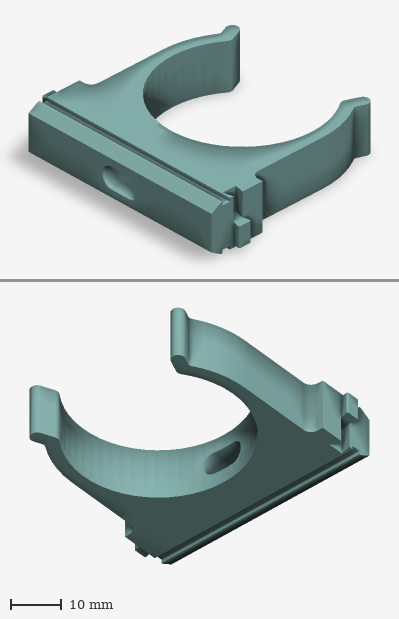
import cadquery as cq
import math


thickness = 12.0
total_depth = 50.31
base_half_width = 25.9
base_depth = 14.0

bore_radius = 19.6
arm_thickness = 3.0
outer_radius = bore_radius + arm_thickness
ring_center_y = base_depth + bore_radius
arm_root_radius = 2.0

finger_radius = arm_thickness / 2
finger_tilt = math.radians(23.0)
finger_tip_x = 18.45
finger_tip_y = total_depth - finger_radius
throat_radius = 1.5
notch_radius = 1.0

edge_chamfer_depth = 2.6
edge_chamfer_height = 1.5
groove_start_y = 3.05
groove_width = 2.0
groove_depth = 0.85

slot_length = 10.0
slot_height = 5.3

link_y = 7.25
link_waist = 2.45
socket_width = 3.65
socket_depth = 2.45
link_flare = (socket_width - link_waist) / 2 / socket_depth
tongue_reach = 2.05
tongue_height = 5.1
tongue_corner_radius = 0.35


def ring_crossing(offset, radius):
    """Point where a finger side, offset from the finger axis toward the bore, meets a ring circle."""
    along_x, along_y = -math.sin(finger_tilt), -math.cos(finger_tilt)
    start_x = finger_tip_x - offset * math.cos(finger_tilt)
    start_y = finger_tip_y + offset * math.sin(finger_tilt) - ring_center_y
    closest = -(start_x * along_x + start_y * along_y)
    half_chord = math.sqrt(radius**2 - start_x**2 - start_y**2 + closest**2)
    distance = closest - half_chord
    return start_x + distance * along_x, ring_center_y + start_y + distance * along_y


def ring_point(radius, angle):
    return radius * math.cos(angle), ring_center_y + radius * math.sin(angle)


def ring_angle(point):
    return math.atan2(point[1] - ring_center_y, point[0])


def make_body():
    """The clip outline, drawn as its +X half and mirrored, extruded through the thickness."""
    notch = ring_crossing(-finger_radius, outer_radius)
    throat = ring_crossing(finger_radius, bore_radius)
    side_x = finger_radius * math.cos(finger_tilt)
    side_y = finger_radius * math.sin(finger_tilt)
    finger_outside = (finger_tip_x + side_x, finger_tip_y - side_y)
    finger_inside = (finger_tip_x - side_x, finger_tip_y + side_y)
    finger_end = (
        finger_tip_x + finger_radius * math.sin(finger_tilt),
        finger_tip_y + finger_radius * math.cos(finger_tilt),
    )
    body = (
        cq.Workplane("XY")
        .lineTo(base_half_width, 0)
        .lineTo(base_half_width, base_depth)
        .lineTo(outer_radius + arm_root_radius, base_depth)
        .radiusArc((outer_radius, base_depth + arm_root_radius), arm_root_radius)
        .lineTo(outer_radius, ring_center_y)
        .threePointArc(ring_point(outer_radius, ring_angle(notch) / 2), notch)
        .lineTo(*finger_outside)
        .threePointArc(finger_end, finger_inside)
        .lineTo(*throat)
        .lineTo(0, ring_center_y)
        .mirrorY()
        .extrude(thickness)
    )
    bore = cq.Workplane("XY", (0, ring_center_y, 0)).circle(bore_radius).extrude(thickness)
    body = body.cut(bore)
    for side in (-1, 1):
        for (x, y), radius in ((throat, throat_radius), (notch, notch_radius)):
            corner = cq.selectors.NearestToPointSelector((side * x, y, thickness / 2))
            body = body.edges("|Z").edges(corner).fillet(radius)
    return body


def cut_mounting_edge(body):
    """Bevel the mounting edge and cut a groove behind it, on both flat faces."""
    groove_end_y = groove_start_y + groove_width
    bevel = (
        cq.Workplane("YZ")
        .polyline([(0, 0), (edge_chamfer_depth, 0), (0, edge_chamfer_height)])
        .close()
        .extrude(base_half_width, both=True)
    )
    groove = (
        cq.Workplane("YZ")
        .moveTo(groove_start_y, 0)
        .lineTo(groove_end_y, 0)
        .lineTo(groove_end_y, groove_depth)
        .lineTo(groove_start_y, groove_depth)
        .close()
        .extrude(base_half_width, both=True)
    )
    lower = bevel.union(groove)
    upper = lower.mirror("XY", (0, 0, thickness / 2))
    return body.cut(lower).cut(upper)


def cut_screw_slot(body):
    """Rounded slot from the mounting face through into the bore."""
    slot = (
        cq.Workplane("XZ")
        .center(0, thickness / 2)
        .slot2D(slot_length, slot_height)
        .extrude(-ring_center_y)
    )
    return body.cut(slot)


def make_link_prism(length, bottom, height):
    """Dovetail widening away from the base end face: outward for a positive length, inward for a negative."""
    waist_half = link_waist / 2
    flared_half = waist_half + link_flare * abs(length)
    flared_x = base_half_width + length
    return (
        cq.Workplane("XY", (0, link_y, bottom))
        .polyline(
            [
                (base_half_width, -waist_half),
                (flared_x, -flared_half),
                (flared_x, flared_half),
                (base_half_width, waist_half),
            ]
        )
        .close()
        .extrude(height)
    )


def add_links(body):
    """Each end has a tongue in one half of the thickness and a matching socket in the other."""
    middle = thickness / 2
    socket = make_link_prism(-socket_depth, middle, middle)
    tongue = make_link_prism(tongue_reach, middle - tongue_height, tongue_height)
    tongue = tongue.faces(">X").edges("|Z").fillet(tongue_corner_radius)
    link_axis = ((0, link_y, middle), (0, link_y + 1, middle))
    for turn in (0, 180):
        body = body.cut(socket.rotate(*link_axis, turn))
        body = body.union(tongue.rotate(*link_axis, turn))
    return body


clip = cut_mounting_edge(make_body())
clip = cut_screw_slot(clip)
result = add_links(clip)